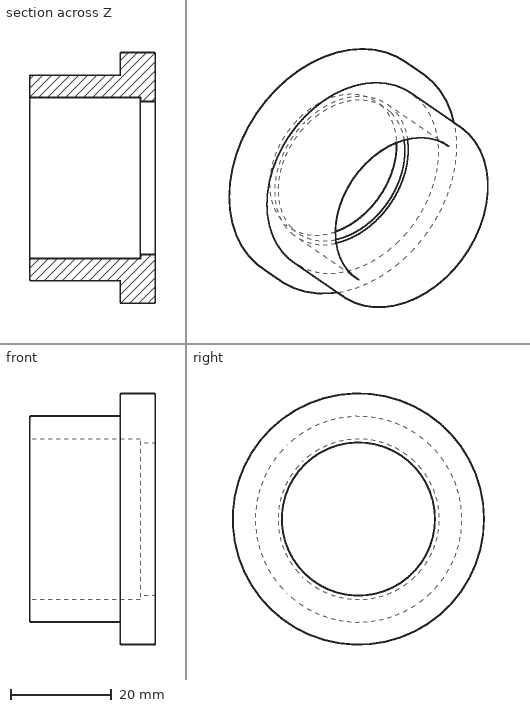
import cadquery as cq

length = 25.0
flange_diameter = 50.0
flange_thickness = 7.0
barrel_diameter = 41.0

bore_diameter = 32.0
lip_diameter = 30.4
lip_length = 3.0

edge_radius = 0.325

barrel_length = length - flange_thickness
main_bore_depth = length - lip_length


def cylinder(diameter, start, height):
    """Solid cylinder along +X, beginning at the given X position."""
    return cq.Workplane("YZ", origin=(start, 0, 0)).circle(diameter / 2).extrude(height)


barrel = cylinder(barrel_diameter, 0, length).faces("<X").edges().fillet(edge_radius)

flange = cylinder(flange_diameter, barrel_length, flange_thickness)
flange = flange.faces("<X or >X").edges().fillet(edge_radius)

body = barrel.union(flange)

body = body.cut(cylinder(lip_diameter, 0, length))
body = body.cut(cylinder(bore_diameter, 0, main_bore_depth))

mouth_edge = cq.selectors.RadiusNthSelector(0)
result = body.faces("<X").edges(mouth_edge).fillet(edge_radius)